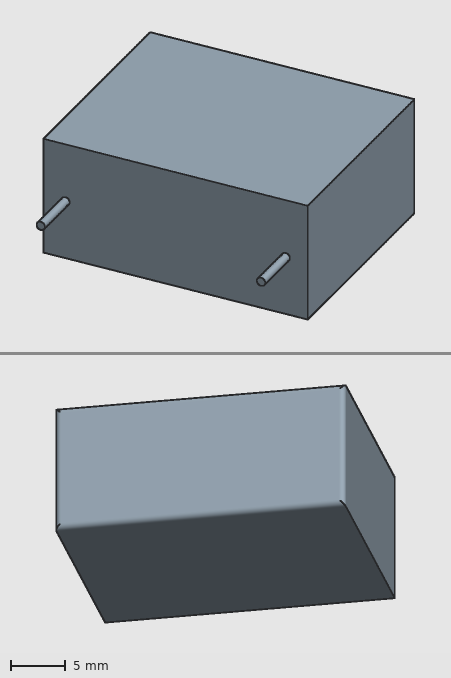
import cadquery as cq

case_width = 27.0
case_height = 12.02
total_depth = 27.0
edge_radius = 0.5

pin_length = 5.0
pin_diameter = 0.86
pin_spacing = 22.5

case_depth = total_depth - pin_length


def make_case():
    """Block centred on X and Z, with its flat end face on Y = 0."""
    block = cq.Workplane("XY").box(case_width, case_depth, case_height, centered=(True, False, True))
    return block.faces(">Y").edges().fillet(edge_radius)


def make_pin(x):
    """Lead at the given X, running from the flat end face of the case toward -Y."""
    return cq.Workplane("XZ").center(x, 0).circle(pin_diameter / 2).extrude(pin_length)


case = make_case()
pins = [make_pin(side * pin_spacing / 2) for side in (-1, 1)]

result = cq.Compound.makeCompound([case.val(), *[pin.val() for pin in pins]])